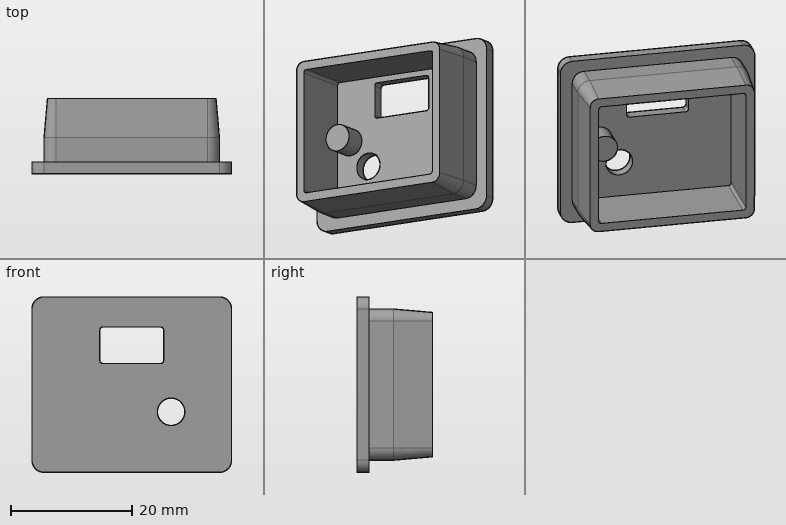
import cadquery as cq

flange_width = 33
flange_height = 29.0
flange_thickness = 2.0
corner_radius = 2.0

total_depth = 12.5
housing_width = 29.0
housing_height = 25.0
straight_depth = 4.0
taper_angle = 5
wall_thickness = 2.0
cavity_corner_radius = 0.5

window_width = 10.5
window_height = 6.0
window_center_z = 6.5
window_corner_radius = 0.5
button_diameter = 4.5
button_x = 6.5
button_z = -4.5

post_diameter = 4.5
post_x = 10.0

taper_start = flange_thickness + straight_depth
taper_depth = total_depth - taper_start


def section(y):
    """Workplane parallel to XZ whose extrusions run toward +Y."""
    return cq.Workplane("XZ", origin=(0, y, 0))


def rounded_block(width, height, radius, start, depth):
    """Rectangular block along Y with its four long edges rounded."""
    block = section(start).rect(width, height).extrude(-depth)
    return block.edges("|Y").fillet(radius)


def tapered_block(width, height, radius, start, depth):
    """Rounded block whose sides lean inward toward +Y."""
    outline = cq.Sketch().rect(width, height).vertices().fillet(radius)
    return section(start).placeSketch(outline).extrude(-depth, taper=taper_angle)


flange = rounded_block(flange_width, flange_height, corner_radius, 0, flange_thickness)
straight_band = rounded_block(
    housing_width, housing_height, corner_radius, flange_thickness, straight_depth
)
tapered_shell = tapered_block(
    housing_width, housing_height, corner_radius, taper_start, taper_depth
)

cavity = rounded_block(
    housing_width - 2 * wall_thickness,
    housing_height - 2 * wall_thickness,
    cavity_corner_radius,
    flange_thickness,
    total_depth - flange_thickness,
)

window = rounded_block(
    window_width, window_height, window_corner_radius, 0, flange_thickness
).translate((0, 0, window_center_z))

button_hole = (
    section(0)
    .center(button_x, button_z)
    .circle(button_diameter / 2)
    .extrude(-flange_thickness)
)

post = (
    section(flange_thickness)
    .center(post_x, 0)
    .circle(post_diameter / 2)
    .extrude(-straight_depth)
)

housing = flange.union(straight_band).union(tapered_shell)
result = housing.cut(cavity).cut(window).cut(button_hole).union(post)